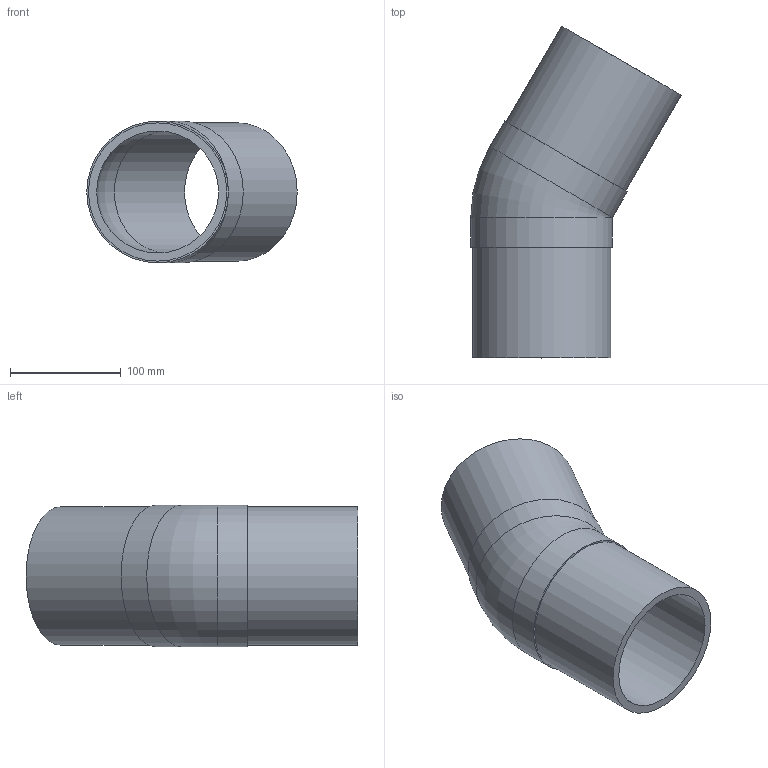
import cadquery as cq
import math

bend_angle = 30.0
corner_to_end = 144.0
spigot_length = 100.0
spigot_diameter = 125.0
bore_diameter = 110.2
elbow_diameter = 128.0
inside_clearance = 0.02

bend_radius = elbow_diameter / 2 + inside_clearance

tangent_length = bend_radius * math.tan(math.radians(bend_angle / 2))
straight_length = corner_to_end - tangent_length
collar_length = straight_length - spigot_length


def elbow_sweep(diameter):
    """Solid torus sector starting on the XZ plane, curving from +Y towards +X."""
    return (
        cq.Workplane("XZ")
        .circle(diameter / 2)
        .revolve(bend_angle, (bend_radius, 0, 0), (bend_radius, -1, 0))
    )


def inlet_rod(diameter, length):
    """Cylinder running from the elbow start towards -Y."""
    return cq.Workplane("XZ").circle(diameter / 2).extrude(length)


def at_outlet(inlet_shape):
    """Mirror an inlet shape to the outlet end and turn it to the outlet direction."""
    axis_start = (bend_radius, 0, 0)
    axis_end = (bend_radius, 0, 1)
    return inlet_shape.mirror("XZ").rotate(axis_start, axis_end, -bend_angle)


def with_both_ends(elbow, inlet_shape):
    """Join an elbow to an inlet shape and to its copy at the outlet."""
    return elbow.union(inlet_shape).union(at_outlet(inlet_shape))


collar = inlet_rod(elbow_diameter, collar_length)
spigot = inlet_rod(spigot_diameter, straight_length)
outside = with_both_ends(elbow_sweep(elbow_diameter), collar.union(spigot))

straight_bore = inlet_rod(bore_diameter, straight_length)
passage = with_both_ends(elbow_sweep(bore_diameter), straight_bore)

result = outside.cut(passage)